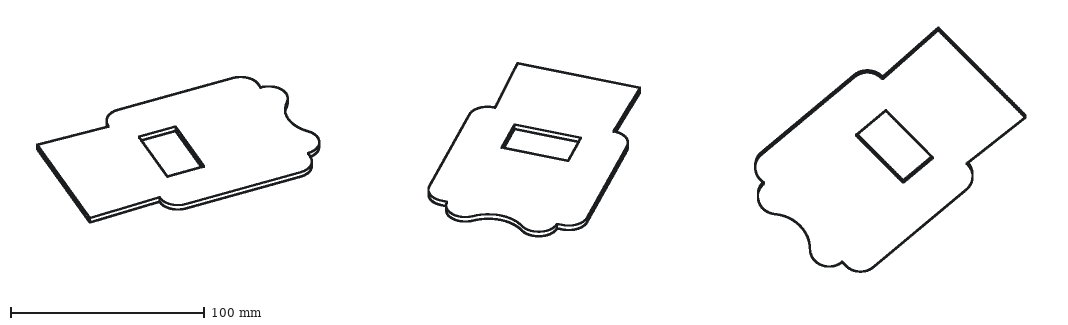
import cadquery as cq
import math

thickness = 3.0

body_width = 86.0
body_height = 85.0
corner_radius = 10.0

tab_length = 40.0
tab_end_width = 66.9
tab_root_width = 64.6

lobe_radius = 10.0
lobe_offset = 20.0
hollow_radius = 20.0

window_width = 36.2
window_height = 20.8
window_center_y = 61.1

body_top = tab_length + body_height


def make_body():
    """Rounded rectangle standing on the root of the tab."""
    return (
        cq.Workplane("XY")
        .center(0, tab_length + body_height / 2)
        .rect(body_width, body_height)
        .extrude(thickness)
        .edges("|Z")
        .fillet(corner_radius)
    )


def make_tab():
    """Tab that widens slightly from its root to its free end."""
    half_end = tab_end_width / 2
    half_root = tab_root_width / 2
    overlap = corner_radius
    half_inner = half_root - (half_end - half_root) * overlap / tab_length
    inner_y = tab_length + overlap
    return (
        cq.Workplane("XY")
        .polyline([(-half_end, 0), (half_end, 0), (half_inner, inner_y), (-half_inner, inner_y)])
        .close()
        .extrude(thickness)
    )


def make_crest():
    """Two lobes blended by a hollow arc that is tangent to both of them."""
    center_distance = lobe_radius + hollow_radius
    hollow_rise = math.sqrt(center_distance**2 - lobe_offset**2)
    hollow_bottom = body_top + hollow_rise - hollow_radius

    tangent_x = lobe_offset * hollow_radius / center_distance
    tangent_y = body_top + hollow_rise * lobe_radius / center_distance

    outer_x = lobe_offset + lobe_radius
    lobe_top = body_top + lobe_radius
    base_y = body_top - corner_radius
    return (
        cq.Workplane("XY")
        .moveTo(-outer_x, base_y)
        .lineTo(-outer_x, body_top)
        .threePointArc((-lobe_offset, lobe_top), (-tangent_x, tangent_y))
        .threePointArc((0, hollow_bottom), (tangent_x, tangent_y))
        .threePointArc((lobe_offset, lobe_top), (outer_x, body_top))
        .lineTo(outer_x, base_y)
        .close()
        .extrude(thickness)
    )


def make_window():
    """Cutter for the rectangular through window."""
    return (
        cq.Workplane("XY")
        .center(0, window_center_y)
        .rect(window_width, window_height)
        .extrude(thickness)
    )


plate = make_body().union(make_tab()).union(make_crest()).clean()
result = plate.cut(make_window())